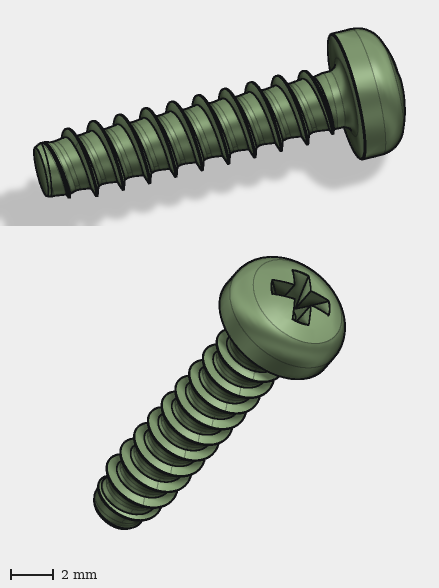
import cadquery as cq
import math


OVERALL_LENGTH = 17.63

HEAD_RADIUS = 3.05
HEAD_HEIGHT = 2.63
HEAD_RIM_HEIGHT = 1.02
HEAD_CORNER_RADIUS = 1.16
RIM_CHAMFER = 0.05

WING_WIDTH = 0.88
RECESS_RADIUS = 1.59
RECESS_FLOOR_RADIUS = 0.53
RECESS_DEPTH = 1.59
RECESS_STRAIGHT_DEPTH = 0.23
MOUTH_CLEARANCE = 0.18

NECK_RADIUS = 1.35
NECK_FILLET_WIDTH = 0.55
NECK_FILLET_HEIGHT = 0.45
NECK_LENGTH = 0.83
NECK_TAPER_LENGTH = 0.58
CORE_RADIUS = 1.25
TIP_RADIUS = 1.18
TIP_TAPER = 0.5
TIP_CONE_HEIGHT = 0.04
SHANK_OVERLAP = 0.18
SHANK_LENGTH = OVERALL_LENGTH - HEAD_HEIGHT
UNTRIMMED_LENGTH = SHANK_LENGTH + 1.76
TIP_EDGE = SHANK_LENGTH - TIP_CONE_HEIGHT

PITCH = 1.292
THREAD_RADIUS = 1.75
CREST_WIDTH = 0.07
FLANK_SLOPE = 0.36
THREAD_DEPTH = 0.55
THREAD_START = 0.83
START_ANGLE = -90.0
START_RADIUS_DROP = 0.23
LEAD_IN_TURNS = 1.0
FULL_TURNS = 8.5
RUN_OUT_TURNS = 1.4
RUN_OUT_DROP = 0.53

SWELL_PROFILE = [(-0.44, 1.15), (-0.44, 1.23), (-0.14, 1.32), (0.14, 1.32), (0.83, 1.23), (0.83, 1.15)]
SWELL_TURNS = 11.4


def make_head():
    shoulder = HEAD_HEIGHT - HEAD_RIM_HEIGHT
    corner_x = HEAD_RADIUS - HEAD_CORNER_RADIUS
    dome_radius = (
        (corner_x**2 + shoulder**2 - HEAD_CORNER_RADIUS**2) / (2 * (shoulder - HEAD_CORNER_RADIUS))
    )
    corner_distance = WING_WIDTH / math.sqrt(2)
    lost_height = dome_radius - math.sqrt(dome_radius**2 - corner_distance**2)
    apex = -HEAD_HEIGHT - lost_height
    tangent_angle = math.asin(corner_x / (dome_radius - HEAD_CORNER_RADIUS))

    def on_arc(center_x, center_z, radius, angle):
        return (center_x + radius * math.sin(angle), center_z - radius * math.cos(angle))

    dome_center = apex + dome_radius
    corner_angle = (tangent_angle + math.pi / 2) / 2
    profile = (
        cq.Workplane("XZ")
        .moveTo(0, apex)
        .threePointArc(
            on_arc(0, dome_center, dome_radius, tangent_angle / 2),
            on_arc(0, dome_center, dome_radius, tangent_angle),
        )
        .threePointArc(
            on_arc(corner_x, -HEAD_RIM_HEIGHT, HEAD_CORNER_RADIUS, corner_angle),
            (HEAD_RADIUS, -HEAD_RIM_HEIGHT),
        )
        .lineTo(HEAD_RADIUS, -RIM_CHAMFER)
        .lineTo(HEAD_RADIUS - RIM_CHAMFER, 0)
        .lineTo(0, 0)
        .close()
    )
    return profile.revolve()


def make_recess():
    top = -HEAD_HEIGHT - MOUTH_CLEARANCE
    slot_length = 3 * RECESS_RADIUS
    slot = (
        cq.Workplane("XY", origin=(0, 0, top))
        .rect(slot_length, WING_WIDTH)
        .extrude(RECESS_DEPTH + MOUTH_CLEARANCE)
    )
    slots = slot.union(slot.rotate((0, 0, 0), (0, 0, 1), 90))
    cone = (
        cq.Workplane("XZ")
        .moveTo(0, top)
        .lineTo(RECESS_RADIUS, top)
        .lineTo(RECESS_RADIUS, -HEAD_HEIGHT + RECESS_STRAIGHT_DEPTH)
        .lineTo(RECESS_FLOOR_RADIUS, -HEAD_HEIGHT + RECESS_DEPTH)
        .lineTo(0, -HEAD_HEIGHT + RECESS_DEPTH)
        .close()
        .revolve()
    )
    return slots.intersect(cone)


def make_shank():
    fillet_radius = (NECK_FILLET_WIDTH**2 + NECK_FILLET_HEIGHT**2) / (2 * NECK_FILLET_HEIGHT)
    fillet_edge = NECK_RADIUS + NECK_FILLET_WIDTH
    return (
        cq.Workplane("XZ")
        .moveTo(0, -SHANK_OVERLAP)
        .lineTo(fillet_edge, -SHANK_OVERLAP)
        .lineTo(fillet_edge, 0)
        .radiusArc((NECK_RADIUS, NECK_FILLET_HEIGHT), fillet_radius)
        .lineTo(NECK_RADIUS, NECK_LENGTH)
        .lineTo(CORE_RADIUS, NECK_LENGTH + NECK_TAPER_LENGTH)
        .lineTo(CORE_RADIUS, UNTRIMMED_LENGTH)
        .lineTo(0, UNTRIMMED_LENGTH)
        .close()
        .revolve()
    )


def make_tip_trim():
    outer_radius = THREAD_RADIUS + 0.18
    taper_length = (outer_radius - TIP_RADIUS) / TIP_TAPER
    far_end = UNTRIMMED_LENGTH + 0.18
    return (
        cq.Workplane("XZ")
        .moveTo(0, SHANK_LENGTH)
        .lineTo(TIP_RADIUS, TIP_EDGE)
        .lineTo(outer_radius, TIP_EDGE - taper_length)
        .lineTo(outer_radius, far_end)
        .lineTo(0, far_end)
        .close()
        .revolve()
    )


def helix_edge(radius, start_z, turns, radius_change):
    height = turns * PITCH
    if radius_change == 0:
        wire = cq.Wire.makeHelix(PITCH, height, radius)
        return wire.translate(cq.Vector(0, 0, start_z)).Edges()[0]
    cone_angle = math.atan2(radius_change, height)
    stretch = 1 / math.cos(cone_angle)
    wire = cq.Wire.makeHelix(PITCH * stretch, height * stretch, radius, angle=math.degrees(cone_angle))
    return wire.translate(cq.Vector(0, 0, start_z)).Edges()[0]


def end_cap(edges, position):
    corners = [edge.positionAt(position) for edge in edges]
    return cq.Face.makeFromWires(cq.Wire.makePolygon(corners, close=True))


def helical_ridge(profile, turns_before, turns, start_drop=0.0, end_drop=0.0):
    start_z = THREAD_START + turns_before * PITCH
    drop_per_turn = (end_drop - start_drop) / turns
    faces = []
    for turn in range(math.ceil(turns)):
        part_turn = min(1, turns - turn)
        drop = start_drop + turn * drop_per_turn
        edges = [
            helix_edge(radius - drop, start_z + offset + turn * PITCH, part_turn, -part_turn * drop_per_turn)
            for offset, radius in profile
        ]
        if turn == 0:
            faces.append(end_cap(edges, 0))
        faces += [cq.Face.makeRuledSurface(edges[i - 1], edges[i]) for i in range(len(edges))]
    faces.append(end_cap(edges, 1))
    ridge = cq.Solid.makeSolid(cq.Shell.makeShell(faces)).fix()
    turned = START_ANGLE + 360 * turns_before
    return cq.Workplane(ridge.rotate(cq.Vector(), cq.Vector(0, 0, 1), turned))


def thread_profile():
    half_crest = CREST_WIDTH / 2
    half_root = half_crest + THREAD_DEPTH * FLANK_SLOPE
    root_radius = THREAD_RADIUS - THREAD_DEPTH
    return [
        (-half_root, root_radius),
        (-half_crest, THREAD_RADIUS),
        (half_crest, THREAD_RADIUS),
        (half_root, root_radius),
    ]


thread = thread_profile()
run_out_start = LEAD_IN_TURNS + FULL_TURNS
ridges = [
    helical_ridge(SWELL_PROFILE, 0, SWELL_TURNS),
    helical_ridge(thread, 0, LEAD_IN_TURNS, start_drop=START_RADIUS_DROP),
    helical_ridge(thread, LEAD_IN_TURNS, FULL_TURNS),
    helical_ridge(thread, run_out_start, RUN_OUT_TURNS, end_drop=RUN_OUT_DROP),
]

screw = make_shank()
for ridge in ridges:
    screw = screw.union(ridge)
screw = screw.cut(make_tip_trim()).union(make_head()).cut(make_recess())
result = screw.rotate((0, 0, 0), (1, 0, 0), 90)